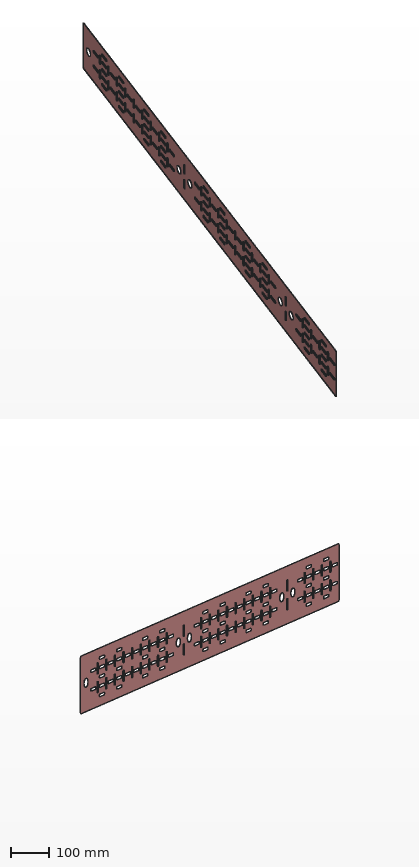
import cadquery as cq

length = 1500.0
thickness = 1.2
height = 155.0
corner_radius = 5.0

steps_along_plate = 30
pitch = length / steps_along_plate
steps_per_module = 12
module_length = steps_per_module * pitch
module_count = 3
grid_start = -length / 2

slot_length = 30.0
slot_width = 7.0
hole_radius = 11.7
hole_spacing = 65.0
hole_offset = hole_spacing / 2

slot_rows = [-pitch / 2, pitch / 2]
bar_rows = [-pitch, 0, pitch]

upright_steps = [0] + list(range(2, steps_per_module - 1))
link_steps = [step + 0.5 for step in range(1, steps_per_module - 1)]
bar_steps = [2.5, 4.5, 7.5, 9.5]
hole_places = [hole_offset, module_length - hole_offset]


def module_places(offsets):
    """X positions of the offsets in every module, keeping only openings that clear the plate ends."""
    edge_limit = length / 2 - slot_length / 2
    places = [
        grid_start + module * module_length + offset
        for module in range(module_count)
        for offset in offsets
    ]
    return [x for x in places if abs(x) < edge_limit]


def grid_points(steps, rows):
    """Every crossing of the given grid steps with the given rows."""
    return [(x, z) for x in module_places([step * pitch for step in steps]) for z in rows]


def make_plate():
    plate = cq.Workplane("XY").box(length, thickness, height)
    return plate.edges("|Y").fillet(corner_radius)


def front_openings(points):
    """Workplane on the plate's middle plane with the opening centres selected."""
    return cq.Workplane("XZ").pushPoints(points)


def make_cutters():
    uprights = front_openings(grid_points(upright_steps, slot_rows)).slot2D(slot_length, slot_width, 90)
    links = front_openings(grid_points(link_steps, slot_rows)).slot2D(slot_length, slot_width)
    bars = front_openings(grid_points(bar_steps, bar_rows)).slot2D(slot_length, slot_width)
    holes = front_openings([(x, 0) for x in module_places(hole_places)]).circle(hole_radius)
    return [shape.extrude(thickness, both=True) for shape in (uprights, links, bars, holes)]


result = make_plate()
for cutter in make_cutters():
    result = result.cut(cutter)